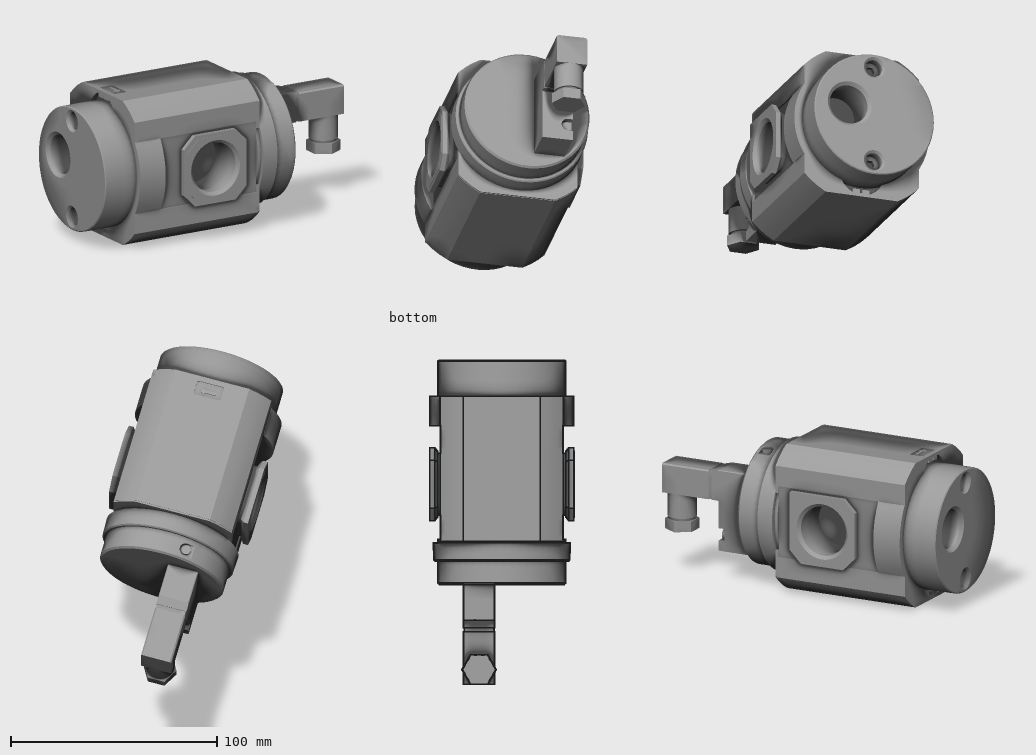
import cadquery as cq
import math


shell_front_y = 17.4
collar_back_y = 31.9
body_back_y = 87.0
shell_back_y = 88.7
ring_back_y = 97.5
cap_back_y = 108.9
block_back_y = 126.2
slope_start_y = 125.4
gasket_front_y = 129.8
plug_front_y = 131.7
plug_back_y = 157.35

shell_width = 59.5
shell_height = 73.0
shell_corner_radius = 41.0
wall_x = 2.3
wall_z = 1.7
corner_wall = 2.4
core_width = shell_width - 2 * wall_x
core_height = shell_height - 2 * wall_z
core_corner_radius = shell_corner_radius - corner_wall
end_lip_inset = 0.2
end_lip_front_y = 87.9
slot_half_height = 18.0
end_slot_half_height = 14.5
side_face_x = 29.0

barrel_radius = 31.0
collar_radius = 35.0
barrel_chamfer = 0.5

port_y = 60.2
flange_size = 35.6
flange_corner = 6.2
flange_face_x = 35.0
flange_thickness = 2.4
flange_bevel = 1.6
bevel_angle = 52.0
neck_size = 30.2
neck_inner_x = 20.0
neck_corner_radius = 6.8
port_radius = 12.4
port_rim_radius = 14.0
port_depth = 20.0
seal_height = 0.25
seal_size = 32.0

front_port_x = -12.8
front_port_z = 3.9
front_port_radius = 9.8
front_port_rim_radius = 11.4
front_port_depth = 20.0
screw_z = 24.2
screw_bore_radius = 4.3
screw_rim_radius = 5.5
screw_bore_depth = 6.0
hex_socket_flats = 4.2
hex_socket_depth = 2.5

clip_recess_radius = 11.5
clip_recess_depth = 3.0
clip_setback = 0.5
clip_width = 8.4
clip_height = 2.1
clip_slit = 1.2

mark_y = 23.6
mark_length = 13.6
mark_width = 7.2
mark_depth = 0.5
mark_corner_radius = 1.0
arrow_y_offset = 0.9
arrow_length = 8.6
arrow_shaft_width = 1.4
arrow_head_length = 2.6
arrow_head_width = 4.0

ring_front_radius = 33.3
ring_back_radius = 33.0
ring_chamfer = 0.6
cap_radius = 31.15
cap_chamfer = 0.9

solenoid_x = -11.0
solenoid_width = 15.2
block_top_z = 17.8
block_bottom_z = -23.0
arm_top_z = 16.9
arm_bottom_z = 2.2
block_edge_chamfer = 0.4
gasket_inset = 0.3
plug_edge_chamfer = 0.7
gland_radius = 7.2
gland_groove_radius = 6.2
gland_groove_top_z = -10.2
nut_top_z = -11.6
nut_bottom_z = -16.9

pocket_radius = 3.15
button_radius = 2.3
cap_pocket_y = 103.4
cap_pocket_floor_z = 27.6
override_x = -16.2
override_z = -14.75
override_depth = 3.3
button_height = 1.4


def cylinder_y(radius, y0, y1, x=0.0, z=0.0):
    """Cylinder along Y between two stations."""
    return cq.Workplane("XZ", origin=(x, y0, z)).circle(radius).extrude(y0 - y1)


def box(x0, x1, y0, y1, z0, z1):
    """Box between two opposite corners."""
    return cq.Workplane("XY").box(x1 - x0, y1 - y0, z1 - z0, centered=False).translate((x0, y0, z0))


def rounded_section(width, height, corner_radius, y0, y1):
    """Rectangle bounded at its corners by a circle about the main axis, run along Y."""
    block = box(-width / 2, width / 2, y0, y1, -height / 2, height / 2)
    return block.intersect(cylinder_y(corner_radius, y0, y1))


def chamfered_bore_y(x, z, radius, rim_radius, depth):
    """Blind bore from the front face with a 45 degree rim."""
    rim = rim_radius - radius
    profile = [(0, 0), (rim_radius, 0), (radius, rim), (radius, depth), (0, depth)]
    bore = cq.Workplane("XY").polyline(profile).close().revolve(360, (0, 0, 0), (0, 1, 0))
    return bore.translate((x, 0, z))


def clip_recess(side):
    """Shallow recess beside the barrel that leaves room for a shell clip."""
    end_y = shell_front_y + clip_recess_depth
    recess = cylinder_y(clip_recess_radius, shell_front_y, end_y, 0, side * screw_z)
    return recess.cut(cylinder_y(barrel_radius, shell_front_y, end_y))


def side_port_flange(side):
    """Octagonal flange with bevelled back, standing on a square neck; side is -1 or +1."""
    plane = cq.Plane(origin=(side * flange_face_x, port_y, 0), xDir=(0, 1, 0), normal=(-side, 0, 0))
    plate = cq.Workplane(plane).rect(flange_size, flange_size).extrude(flange_thickness)
    corners = plate.edges("|X")
    if side < 0:
        corners = plate.edges("|X").edges("<Y or <Z")
    plate = corners.chamfer(flange_corner)
    bevel = plate.faces("<X" if side > 0 else ">X").wires().toPending().workplane()
    bevel = bevel.extrude(flange_bevel, taper=bevel_angle, combine=False)
    neck = cq.Workplane(plane).rect(neck_size, neck_size).extrude(flange_face_x - neck_inner_x)
    neck = neck.edges("|X").fillet(neck_corner_radius)
    return plate.union(bevel).union(neck)


def side_port_bore(side):
    """Blind port bore with a 45 degree rim, entered from the flange face."""
    rim = port_rim_radius - port_radius
    inner_x = flange_face_x - port_depth
    outer_x = flange_face_x + seal_height
    profile = [
        (inner_x, 0),
        (inner_x, port_radius),
        (flange_face_x - rim, port_radius),
        (flange_face_x, port_rim_radius),
        (outer_x, port_rim_radius),
        (outer_x, 0),
    ]
    bore = cq.Workplane("XY").polyline(profile).close().revolve(360, (0, 0, 0), (1, 0, 0))
    if side < 0:
        bore = bore.mirror("YZ")
    return bore.translate((0, port_y, 0))


def seal_pad():
    """Thin raised pad on the +X flange."""
    plane = cq.Plane(origin=(flange_face_x, port_y, 0), xDir=(0, 1, 0), normal=(1, 0, 0))
    pad = cq.Workplane(plane).rect(seal_size, seal_size).extrude(seal_height)
    return pad.edges("|X").chamfer(flange_corner)


def make_body():
    core = rounded_section(core_width, core_height, core_corner_radius, shell_front_y, body_back_y)
    side_faces = box(
        -side_face_x, side_face_x, shell_front_y, body_back_y, -slot_half_height, slot_half_height
    )
    collar_slice = box(
        -collar_radius, collar_radius, shell_front_y, collar_back_y, -slot_half_height, slot_half_height
    )
    collar = cylinder_y(collar_radius, shell_front_y, collar_back_y).intersect(collar_slice)
    barrel = cylinder_y(barrel_radius, 0, shell_front_y).faces("<Y").chamfer(barrel_chamfer)
    neck = cylinder_y(barrel_radius, body_back_y, shell_back_y)
    body = core.union(side_faces).union(collar).union(barrel).union(neck)

    for side in (-1, 1):
        body = body.union(side_port_flange(side))
    body = body.union(seal_pad())

    front_bore = chamfered_bore_y(
        front_port_x, front_port_z, front_port_radius, front_port_rim_radius, front_port_depth
    )
    body = body.cut(front_bore)
    hex_diameter = hex_socket_flats / math.cos(math.pi / 6)
    for side in (-1, 1):
        body = body.cut(side_port_bore(side))
        body = body.cut(clip_recess(side))
        z = side * screw_z
        body = body.cut(chamfered_bore_y(0, z, screw_bore_radius, screw_rim_radius, screw_bore_depth))
        socket = cq.Workplane("XZ", origin=(0, screw_bore_depth, z)).polygon(6, hex_diameter)
        body = body.cut(socket.extrude(-hex_socket_depth))
    return body


def make_shell():
    """Upper half shell: a bent cover, a rear end wall with a lowered lip and a slit clip at the front."""
    half = shell_width / 2
    top = shell_height / 2
    cover = rounded_section(shell_width, shell_height, shell_corner_radius, shell_front_y, body_back_y)
    cover = cover.cut(
        rounded_section(core_width, core_height, core_corner_radius, shell_front_y, body_back_y)
    )
    cover = cover.intersect(box(-half, half, shell_front_y, body_back_y, slot_half_height, top))

    end_wall = rounded_section(shell_width, shell_height, shell_corner_radius, body_back_y, end_lip_front_y)
    end_lip = rounded_section(
        shell_width,
        shell_height - 2 * end_lip_inset,
        shell_corner_radius - end_lip_inset,
        end_lip_front_y,
        shell_back_y,
    )
    end_wall = end_wall.union(end_lip)
    end_wall = end_wall.intersect(box(-half, half, body_back_y, shell_back_y, end_slot_half_height, top))
    end_wall = end_wall.cut(cylinder_y(barrel_radius, body_back_y, shell_back_y))

    core_top = core_height / 2
    clip_front_y = shell_front_y + clip_setback
    clip_back_y = shell_front_y + clip_recess_depth
    clip = box(
        -clip_width / 2, clip_width / 2, clip_front_y, clip_back_y, core_top - clip_height, core_top
    )
    slit = box(
        -clip_slit / 2, clip_slit / 2, clip_front_y, clip_back_y, core_top - clip_height, core_top
    )
    return cover.union(end_wall).union(clip.cut(slit))


def direction_mark():
    """Rounded recess with a raised arrow pointing along +X."""
    floor_z = shell_height / 2 - mark_depth
    recess = cq.Workplane("XY", origin=(0, mark_y, floor_z)).rect(mark_length, mark_width)
    recess = recess.extrude(mark_depth).edges("|Z").fillet(mark_corner_radius)
    tip_x = arrow_length / 2
    head_x = tip_x - arrow_head_length
    half_shaft = arrow_shaft_width / 2
    half_head = arrow_head_width / 2
    outline = [
        (-tip_x, -half_shaft),
        (head_x, -half_shaft),
        (head_x, -half_head),
        (tip_x, 0),
        (head_x, half_head),
        (head_x, half_shaft),
        (-tip_x, half_shaft),
    ]
    arrow = cq.Workplane("XY", origin=(0, mark_y + arrow_y_offset, floor_z)).polyline(outline).close()
    return recess.cut(arrow.extrude(mark_depth))


def make_ring():
    """Slightly tapered locking ring with a chamfered rear edge."""
    profile = [
        (0, shell_back_y),
        (ring_front_radius, shell_back_y),
        (ring_back_radius, ring_back_y - ring_chamfer),
        (ring_back_radius - ring_chamfer, ring_back_y),
        (0, ring_back_y),
    ]
    return cq.Workplane("XY").polyline(profile).close().revolve(360, (0, 0, 0), (0, 1, 0))


def make_cap():
    cap = cylinder_y(cap_radius, ring_back_y, cap_back_y).faces(">Y").chamfer(cap_chamfer)
    pocket_origin = (solenoid_x, cap_pocket_y, cap_pocket_floor_z)
    pocket = cq.Workplane("XY", origin=pocket_origin).circle(pocket_radius).extrude(cap_radius)
    pocket = pocket.union(
        box(
            -cap_radius,
            solenoid_x,
            cap_pocket_y - pocket_radius,
            cap_pocket_y + pocket_radius,
            cap_pocket_floor_z,
            cap_radius,
        )
    )
    button = cq.Workplane("XY", origin=pocket_origin).circle(button_radius).extrude(button_height)
    return cap.cut(pocket).union(button)


def make_solenoid():
    """Valve block with a gasket neck toward the plug and a manual override screw at the back."""
    outline = [
        (cap_back_y, block_bottom_z),
        (block_back_y, block_bottom_z),
        (block_back_y, arm_bottom_z),
        (gasket_front_y, arm_bottom_z),
        (gasket_front_y, arm_top_z),
        (slope_start_y, block_top_z),
        (cap_back_y, block_top_z),
    ]
    left_x = solenoid_x - solenoid_width / 2
    right_x = solenoid_x + solenoid_width / 2
    block = cq.Workplane("YZ", origin=(left_x, 0, 0)).polyline(outline).close().extrude(solenoid_width)
    block = block.faces(">Z").edges("|Y").chamfer(block_edge_chamfer)
    gasket = box(
        left_x + gasket_inset,
        right_x - gasket_inset,
        gasket_front_y,
        plug_front_y,
        arm_bottom_z + gasket_inset,
        arm_top_z - gasket_inset,
    )
    floor_y = block_back_y - override_depth
    pocket = cylinder_y(pocket_radius, floor_y, block_back_y, override_x, override_z)
    pocket = pocket.union(
        box(
            left_x,
            override_x,
            floor_y,
            block_back_y,
            override_z - pocket_radius,
            override_z + pocket_radius,
        )
    )
    button = cylinder_y(button_radius, floor_y, floor_y + button_height, override_x, override_z)
    return block.union(gasket).cut(pocket).union(button)


def make_plug():
    """Connector plug with a cable gland pointing down and a hexagonal gland nut."""
    gland_y = plug_back_y - gland_radius
    left_x = solenoid_x - solenoid_width / 2
    right_x = solenoid_x + solenoid_width / 2
    plug = box(left_x, right_x, plug_front_y, plug_back_y, arm_bottom_z, arm_top_z)
    plug = plug.faces(">Z").edges("|Y").chamfer(plug_edge_chamfer)

    def gland_plane(z):
        return cq.Workplane("XY", origin=(solenoid_x, gland_y, z))

    gland = gland_plane(gland_groove_top_z).circle(gland_radius).extrude(arm_bottom_z - gland_groove_top_z)
    groove = gland_plane(nut_top_z).circle(gland_groove_radius).extrude(gland_groove_top_z - nut_top_z)
    nut_diameter = 2 * gland_radius / math.cos(math.pi / 6)
    nut = gland_plane(nut_bottom_z).polygon(6, nut_diameter).extrude(nut_top_z - nut_bottom_z)
    return plug.union(gland).union(groove).union(nut)


body = make_body()
shell = make_shell()
upper_shell = shell.cut(direction_mark())
lower_shell = shell.mirror("XY")
ring = make_ring()
cap = make_cap()
solenoid = make_solenoid()
plug = make_plug()

bodies = [body, upper_shell, lower_shell, ring, cap, solenoid, plug]
result = cq.Compound.makeCompound([part.solids().val() for part in bodies])